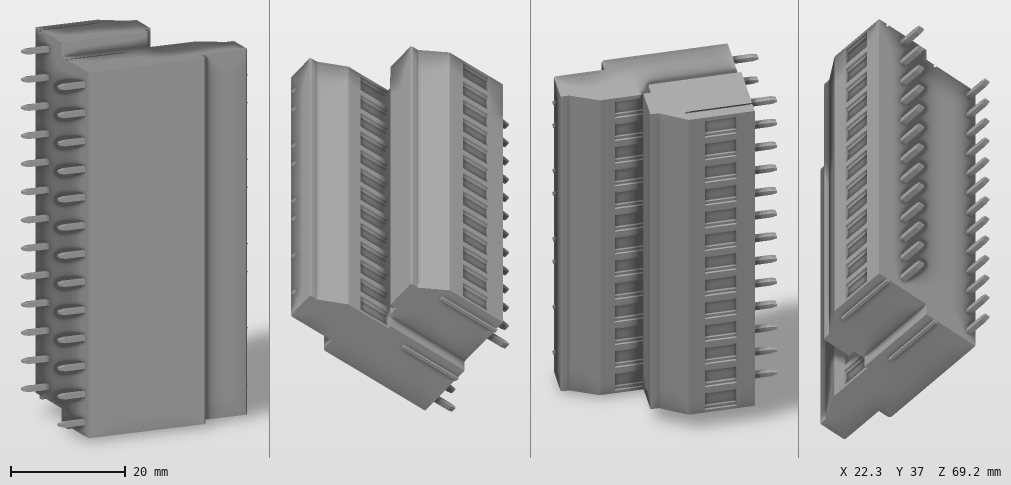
import cadquery as cq


pole_count = 13
pitch = 5.08
row_length = pole_count * pitch
tier_shift = pitch / 2
front_start = tier_shift
rear_start = 0.0

tier_spacing = 11.0
overall_width = 22.3
front_step_height = 16.6
seam_height = 16.35
front_corner_bevel = 0.25
front_slope_low = 11.85
front_slope_high = 16.45
front_height = 17.95
front_head_left = 2.9
front_head_right = 8.8
rear_wall = 11.6
rear_slope_low = 25.15
rear_slope_high = 30.05
rear_height = 31.5
rear_head_left = 14.05
rear_head_right = 19.75
rear_step_height = 22.5
head_bevel = 0.25
edge_break_width = 0.12
edge_break_height = 0.3
slope_blend_width = 0.06
slope_blend_height = 0.25
shoulder_bevel = 0.4

pocket_height = 3.85
pocket_inner_height = 2.75
pocket_step_depth = 0.4
front_pocket_span = (3.25, 8.85)
rear_pocket_span = (seam_height, 22.35)

pin_row_spacing = 3 * pitch
front_pin_x = 5.4
rear_pin_x = front_pin_x + pin_row_spacing
front_pin_width = 1.1
rear_pin_width = 1.0
pin_thickness = 0.9
pin_tip_thickness = 0.4
pin_length = 5.0
pin_taper_length = 1.0
pin_root = 1.0

front_rail_x = 2.05
rear_rail_x = front_rail_x + tier_spacing
rail_length = 11.95
rail_lead_length = 0.9
rail_neck_width = 0.44
rail_wide_width = 0.95
rail_wide_depth = 0.45
rail_bottom_width = 0.65
rail_depth = 0.6

marker_gaps = (1, 2, 4, 5, 7, 8, 10, 12)
marker_left = 18.0
marker_length = 0.9
marker_base = 0.9
marker_height = 0.5
marker_offset = 0.15


def extrude_profile(points, start):
    """Extrude an XY outline over the row length, from Z = start."""
    return cq.Workplane("XY").workplane(offset=start).polyline(points).close().extrude(row_length)


def box_between(x_span, y_span, z_span):
    """Axis-aligned box given by its spans along X, Y and Z."""
    size = [high - low for low, high in (x_span, y_span, z_span)]
    corner = (x_span[0], y_span[0], z_span[0])
    return cq.Workplane("XY").box(*size, centered=False).translate(corner)


def front_housing():
    return extrude_profile(
        [
            (0, 0),
            (tier_spacing, 0),
            (tier_spacing, front_step_height - front_corner_bevel),
            (tier_spacing - front_corner_bevel, front_step_height),
            (front_head_right, front_step_height),
            (front_head_right, front_height),
            (front_head_left + edge_break_width, front_height),
            (front_head_left, front_height - edge_break_height),
            (front_head_left, front_slope_high),
            (slope_blend_width, front_slope_low),
            (0, front_slope_low - slope_blend_height),
        ],
        front_start,
    )


def rear_housing():
    return extrude_profile(
        [
            (tier_spacing, 0),
            (overall_width, 0),
            (overall_width, rear_step_height - shoulder_bevel),
            (overall_width - shoulder_bevel, rear_step_height),
            (rear_head_right, rear_step_height),
            (rear_head_right, rear_height - head_bevel),
            (rear_head_right - head_bevel, rear_height),
            (rear_head_left + edge_break_width, rear_height),
            (rear_head_left, rear_height - edge_break_height),
            (rear_head_left, rear_slope_high),
            (rear_wall + slope_blend_width, rear_slope_low),
            (rear_wall, rear_slope_low - slope_blend_height),
            (rear_wall, seam_height),
            (tier_spacing, seam_height),
        ],
        rear_start,
    )


def pole_centres(start):
    return [start + (index + 0.5) * pitch for index in range(pole_count)]


def wire_pockets(wall_x, y_span, start):
    """Stepped rectangular pockets in a wall facing -X, one per pole."""
    pockets = cq.Workplane("XY")
    for z in pole_centres(start):
        for step, height in enumerate((pocket_height, pocket_inner_height), start=1):
            z_span = (z - height / 2, z + height / 2)
            pockets = pockets.add(box_between((wall_x, wall_x + step * pocket_step_depth), y_span, z_span))
    return pockets.combine()


def pins(x, width, start):
    """Pins along -Y whose tips taper in Z, one per pole."""
    half = pin_thickness / 2
    half_tip = pin_tip_thickness / 2
    taper_start = pin_taper_length - pin_length
    outline = [
        (pin_root, -half),
        (taper_start, -half),
        (-pin_length, -half_tip),
        (-pin_length, half_tip),
        (taper_start, half),
        (pin_root, half),
    ]
    pin = cq.Workplane("YZ").polyline(outline).close().extrude(width / 2, both=True)
    row = cq.Workplane("XY")
    for z in pole_centres(start):
        row = row.add(pin.translate((x, 0, z)))
    return row.combine()


def rail(x, z):
    """Dovetail rail hanging below height z, running along Y from the pin face."""
    neck = rail_neck_width / 2
    wide = rail_wide_width / 2
    bottom = rail_bottom_width / 2
    section = [
        (-neck, 0),
        (-wide, -rail_wide_depth),
        (-bottom, -rail_depth),
        (bottom, -rail_depth),
        (wide, -rail_wide_depth),
        (neck, 0),
    ]
    dovetail = cq.Workplane("XZ").polyline(section).close().extrude(rail_lead_length - rail_length)
    lead = box_between((-neck, neck), (0, rail_length), (-rail_depth, 0))
    return dovetail.union(lead).translate((x, 0, z))


def marker_ridges():
    """Small triangular ridges across the rear head."""
    ridges = cq.Workplane("XY")
    outline = [
        (rear_height, -marker_base / 2),
        (rear_height + marker_height, 0),
        (rear_height, marker_base / 2),
    ]
    ridge = cq.Workplane("YZ").polyline(outline).close().extrude(marker_length)
    for gap in marker_gaps:
        z = rear_start + row_length - gap * pitch + marker_offset
        ridges = ridges.add(ridge.translate((marker_left, 0, z)))
    return ridges.combine()


result = front_housing().union(rear_housing())
result = result.cut(wire_pockets(0, front_pocket_span, front_start))
result = result.cut(wire_pockets(rear_wall, rear_pocket_span, rear_start))
for rail_x, start in ((front_rail_x, front_start), (rear_rail_x, rear_start)):
    result = result.union(rail(rail_x, start))
    result = result.cut(rail(rail_x, start + row_length))
result = result.union(pins(front_pin_x, front_pin_width, front_start))
result = result.union(pins(rear_pin_x, rear_pin_width, rear_start))
result = result.union(marker_ridges())